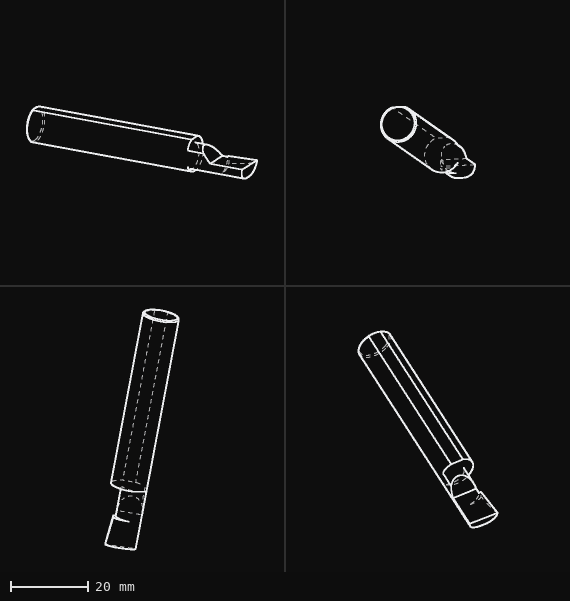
import cadquery as cq
import math

length = 63.5
shank_radius = 4.75
shank_length = 46.9
end_chamfer = 0.4
flat_height = 4.45

neck_radius = 3.5
neck_top_y = 2.0
neck_y = neck_top_y - neck_radius
shoulder_fillet = 0.3

head_start = 55.45
tip_y = 3.3
side_angle = 5.0
end_angle = 1.5
relief_angle = 8.0

rake_end = 54.0
runout_angle = 44.8


def rod(radius, start, end, y=0.0):
    """Cylinder along X, centred at the given Y."""
    return cq.Workplane("YZ", origin=(start, y, 0)).circle(radius).extrude(end - start)


def make_shank():
    body = rod(shank_radius, 0, shank_length).faces("<X").chamfer(end_chamfer)
    above_flat = cq.Workplane("XY", origin=(0, 0, flat_height)).rect(
        2 * shank_length, 2 * shank_radius
    ).extrude(shank_radius)
    return body.cut(above_flat)


def make_neck():
    neck = rod(neck_radius, shank_length, length, neck_y)
    outer = neck_radius + shoulder_fillet
    fillet_end = shank_length + shoulder_fillet
    arc_offset = shoulder_fillet * (1 - math.sqrt(0.5))
    ring = (
        cq.Workplane("XY", origin=(0, neck_y, 0))
        .moveTo(shank_length, 0)
        .lineTo(shank_length, outer)
        .threePointArc(
            (shank_length + arc_offset, neck_radius + arc_offset),
            (fillet_end, neck_radius),
        )
        .lineTo(fillet_end, 0)
        .close()
        .revolve(360, (0, 0, 0), (1, 0, 0))
    )
    return neck.union(ring)


def make_head():
    head_y = tip_y - neck_radius
    flank = (
        cq.Workplane("YZ", origin=(head_start, (head_y + neck_y) / 2, 0))
        .slot2D(head_y - neck_y + 2 * neck_radius, 2 * neck_radius)
        .extrude(length - head_start)
    )
    start_y = tip_y - (length - head_start) * math.tan(math.radians(side_angle))
    plan = (
        cq.Workplane("XY", origin=(0, 0, -shank_radius))
        .polyline([
            (head_start, -shank_radius),
            (length, -shank_radius),
            (length, tip_y),
            (head_start, start_y),
        ])
        .close()
        .extrude(2 * shank_radius)
    )
    return flank.intersect(plan)


def make_rake_cut():
    height = shank_radius
    runout = height / math.tan(math.radians(runout_angle))
    return (
        cq.Workplane("XZ")
        .polyline([
            (rake_end, 0),
            (length, 0),
            (length, height),
            (rake_end - runout, height),
        ])
        .close()
        .extrude(shank_radius, both=True)
    )


def make_end_cut():
    depth = 2 * shank_radius
    return (
        cq.Workplane("XY")
        .rect(depth, 2 * depth)
        .extrude(depth, both=True)
        .translate((depth / 2, 0, 0))
        .rotate((0, 0, 0), (0, 1, 0), relief_angle)
        .rotate((0, 0, 0), (0, 0, 1), -end_angle)
        .translate((length, tip_y, 0))
    )


working_end = (
    make_neck()
    .union(make_head())
    .intersect(rod(shank_radius, shank_length, length))
    .cut(make_rake_cut())
    .cut(make_end_cut())
)
result = make_shank().union(working_end)